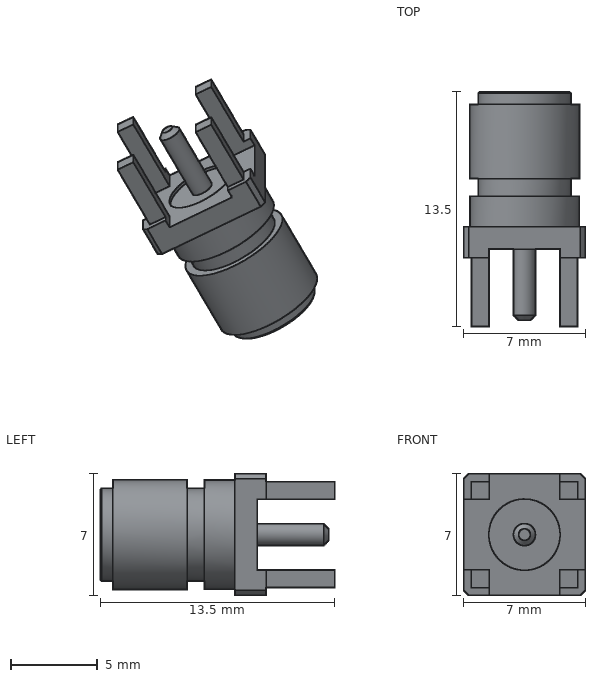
import cadquery as cq


flange_side = 7.0
flange_thickness = 1.3
corner_diameter = 9.5

leg_pitch = 5.08
leg_width = 1.02
leg_length = 3.95
foot_height = 0.5
leg_center = leg_pitch / 2
foot_inner = leg_center - leg_width / 2

recess_diameter = 4.1
recess_depth = 0.17
pin_diameter = 1.27
pin_tip_chamfer = 0.3
pin_length = 3.6

collar_diameter = 6.3
collar_length = 1.75
neck_diameter = 5.35
neck_length = 1.0
sleeve_diameter = 6.33
sleeve_length = 4.27
nose_length = 0.73
nose_chamfer = 0.1

flange_bottom = foot_height
flange_top = flange_bottom + flange_thickness
recess_floor = flange_bottom + recess_depth
sleeve_start = flange_top + collar_length + neck_length
barrel_end = sleeve_start + sleeve_length + nose_length


def cylinder(diameter, y_start, y_end):
    """Cylinder on the Y axis between two heights."""
    return cq.Workplane("XZ", origin=(0, y_start, 0)).circle(diameter / 2).extrude(y_start - y_end)


def square_bar(side, x, z, y_start, y_end):
    """Square bar along Y, centred on (x, z)."""
    length = y_end - y_start
    return cq.Workplane("XY").box(side, length, side).translate((x, y_start + length / 2, z))


def make_flange():
    """Square flange with turned corners, the space between its feet cleared, and a round recess."""
    flange = square_bar(flange_side, 0, 0, 0, flange_top).intersect(cylinder(corner_diameter, 0, flange_top))
    clear_width = 2 * foot_inner
    for x_size, z_size in ((clear_width, flange_side), (flange_side, clear_width)):
        channel = cq.Workplane("XY").box(x_size, foot_height, z_size)
        flange = flange.cut(channel.translate((0, foot_height / 2, 0)))
    return flange.cut(cylinder(recess_diameter, flange_bottom, recess_floor))


def make_barrel():
    """Collar and sleeve on a core that shows as the neck and the chamfered nose."""
    core = cylinder(neck_diameter, flange_top, barrel_end).faces(">Y").chamfer(nose_chamfer)
    collar = cylinder(collar_diameter, flange_top, flange_top + collar_length)
    sleeve = cylinder(sleeve_diameter, sleeve_start, sleeve_start + sleeve_length)
    return core.union(collar).union(sleeve)


def make_pin():
    """Centre pin from the recess floor, with a chamfered tip."""
    pin = cylinder(pin_diameter, -pin_length, recess_floor)
    return pin.faces("<Y").chamfer(pin_tip_chamfer)


def make_legs():
    """Four square legs, rooted in the undersides of the feet."""
    legs = cq.Workplane("XY")
    for x in (-leg_center, leg_center):
        for z in (-leg_center, leg_center):
            legs = legs.add(square_bar(leg_width, x, z, -leg_length, 0))
    return legs.combine()


result = make_flange().union(make_barrel()).union(make_pin()).union(make_legs())